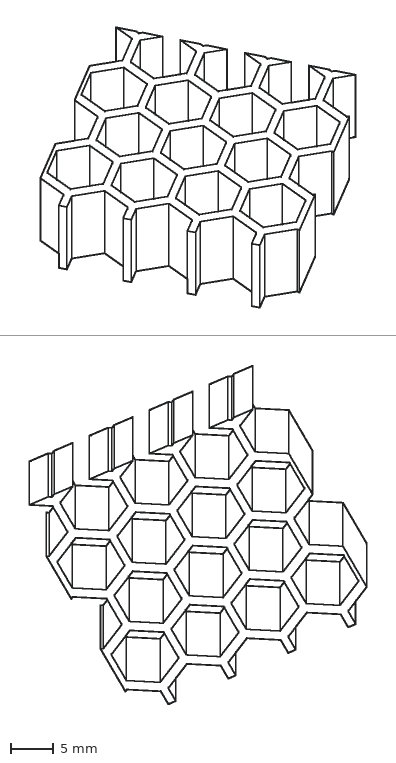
import cadquery as cq
import math

BLOCK_SIDE = 32.0
BLOCK_HEIGHT = 10.0
CELL_RADIUS = 4.0
WALL = CELL_RADIUS / 4

CELL_WIDTH = CELL_RADIUS * math.sqrt(3)
COLUMN_PITCH = CELL_WIDTH + WALL
ROW_PITCH = 1.5 * CELL_RADIUS + WALL * 2 / math.sqrt(3)
COLUMN_COUNT = 5
ROW_COUNT = 6


def cell_centers():
    """Rows start on the front edge; every second row is shifted by half a column."""
    centers = []
    for row in range(ROW_COUNT):
        shift = COLUMN_PITCH / 2 if row % 2 else 0
        for column in range(COLUMN_COUNT):
            centers.append((shift + column * COLUMN_PITCH, row * ROW_PITCH))
    return centers


def hexagon_corners():
    """Corners of one cell around its own centre, the first one pointing to +Y."""
    angles = [math.radians(90 + 60 * corner) for corner in range(6)]
    return [(CELL_RADIUS * math.cos(angle), CELL_RADIUS * math.sin(angle)) for angle in angles]


def make_cells():
    """Hexagonal prisms as tall as the block."""
    corners = hexagon_corners()
    cells = cq.Workplane("XY")
    for x, y in cell_centers():
        outline = [(x + dx, y + dy) for dx, dy in corners]
        cells.add(cq.Workplane("XY").polyline(outline).close().extrude(BLOCK_HEIGHT).val())
    return cells.vals()


def make_honeycomb():
    """Square block with every cell cut through; cells on the border are open."""
    block = cq.Workplane("XY").box(BLOCK_SIDE, BLOCK_SIDE, BLOCK_HEIGHT, centered=False)
    return block.val().cut(*make_cells())


honeycomb = make_honeycomb()

result = cq.Compound.makeCompound(honeycomb.Solids())